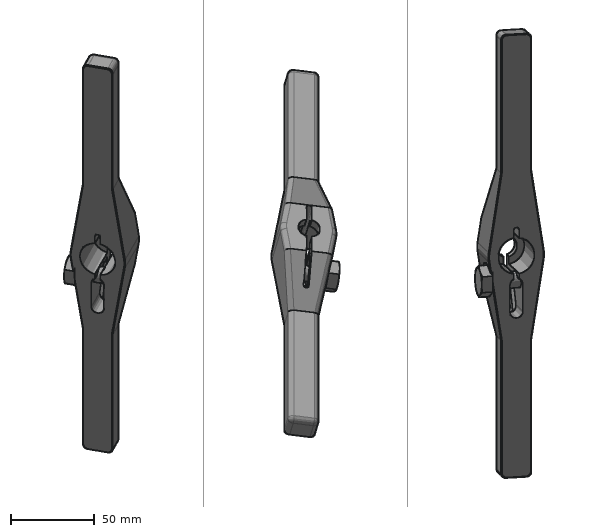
import cadquery as cq
import math

LENGTH = 272.8
HANDLE_WIDTH = 18.8
HANDLE_DEPTH = 15.0
HUB_PEAK_WIDTH = 35.0
HUB_DEPTH = 31.0
HUB_LENGTH = 103.0
HUB_FLAT_LENGTH = 35.5
EDGE_RADIUS = 3.3
FRONT_CHAMFER = 0.5
PEAK_RADIUS = 18.0
BACK_WALL = 6.0

BORE_DIAMETER = 22.0
BACK_HOLE_DIAMETER = 13.0
SLOT_WIDTH = 3.3
SLOT_TOP = 17.5
SLOT_BOTTOM = -38.2
POCKET_WIDTH = 8.0
POCKET_TOP = -14.0

BOLT_Y = 9.0
BOLT_Z = -16.6
SHANK_DIAMETER = 10.0
SHANK_END_X = 11.0
SEAT_X = -14.5
SEAT_DIAMETER = 22.0
HEAD_OUTER_X = -21.3
HEAD_FLATS = 17.0
HEAD_CORNERS = HEAD_FLATS / math.cos(math.pi / 6)
HEAD_CHAMFER_DEPTH = 0.5

half_hub = HUB_LENGTH / 2
half_flat = HUB_FLAT_LENGTH / 2
side_slope = (HUB_PEAK_WIDTH - HANDLE_WIDTH) / 2 / half_hub
back_slope = (HUB_DEPTH - HANDLE_DEPTH) / (half_hub - half_flat)

HUB_OVERRUN = 13.6
hub_tip = half_hub + HUB_OVERRUN
tip_half_width = HANDLE_WIDTH / 2 - side_slope * HUB_OVERRUN
tip_depth = HANDLE_DEPTH - back_slope * HUB_OVERRUN


def hub_side_prism(wall):
    """Side profile of the hub, its back moved toward the front by wall, extruded across X."""
    outline = [
        (0, -hub_tip),
        (tip_depth - wall, -hub_tip),
        (HUB_DEPTH - wall, -half_flat),
        (HUB_DEPTH - wall, half_flat),
        (tip_depth - wall, hub_tip),
        (0, hub_tip),
    ]
    return cq.Workplane("YZ").polyline(outline).close().extrude(HUB_PEAK_WIDTH, both=True)


def handle_bar():
    bar = cq.Workplane("XY").box(HANDLE_WIDTH, HANDLE_DEPTH, LENGTH, centered=(True, False, True))
    return bar.edges("|Y or >Y").fillet(EDGE_RADIUS)


def hub():
    half_peak = HUB_PEAK_WIDTH / 2
    outline = [
        (-tip_half_width, -hub_tip),
        (tip_half_width, -hub_tip),
        (half_peak, 0),
        (tip_half_width, hub_tip),
        (-tip_half_width, hub_tip),
        (-half_peak, 0),
    ]
    plan = cq.Workplane("XZ").polyline(outline).close().extrude(-HUB_DEPTH)
    plan = plan.edges("|Y and (<X or >X)").fillet(PEAK_RADIUS)
    body = plan.intersect(hub_side_prism(0))
    back_faces = body.faces("#X and (not (<Y or <Z or >Z))")
    return back_faces.edges("not |X").fillet(EDGE_RADIUS)


def front_slot(width, bottom, top):
    """Round-ended slot along Z, running from the front face through the hub depth."""
    plane = cq.Workplane("XZ").center(0, (top + bottom) / 2)
    return plane.slot2D(top - bottom, width, 90).extrude(-HUB_DEPTH)


def bore_cylinder(diameter, depth):
    return cq.Workplane("XZ").circle(diameter / 2).extrude(-depth)


def clamp_openings():
    """Stepped bore, narrow slot through the hub, and the wider pocket that follows its back."""
    bore = bore_cylinder(BORE_DIAMETER, HUB_DEPTH - BACK_WALL)
    back_hole = bore_cylinder(BACK_HOLE_DIAMETER, HUB_DEPTH)
    slot = front_slot(SLOT_WIDTH, SLOT_BOTTOM, SLOT_TOP)
    pocket = front_slot(POCKET_WIDTH, SLOT_BOTTOM, POCKET_TOP).intersect(hub_side_prism(BACK_WALL))
    return bore.union(back_hole).union(slot).union(pocket)


def x_plane(x):
    """Plane normal to X, centred on the bolt axis."""
    return cq.Workplane("YZ", origin=(x, BOLT_Y, BOLT_Z))


def spot_face():
    """Round recess that levels the sloping side under the bolt head."""
    return x_plane(SEAT_X).circle(SEAT_DIAMETER / 2).extrude(-HUB_PEAK_WIDTH)


def bolt():
    """Hex-head bolt with two corners of the head along Z and its outer corners chamfered."""
    head_height = SEAT_X - HEAD_OUTER_X
    head_plane = x_plane(HEAD_OUTER_X)
    hexagon = head_plane.transformed(rotate=(0, 0, 90)).polygon(6, HEAD_CORNERS).extrude(head_height)
    turned = head_plane.circle(HEAD_CORNERS / 2).extrude(head_height)
    turned = turned.faces("<X").chamfer(HEAD_CHAMFER_DEPTH, (HEAD_CORNERS - HEAD_FLATS) / 2)
    shank = x_plane(SEAT_X).circle(SHANK_DIAMETER / 2).extrude(SHANK_END_X - SEAT_X)
    return hexagon.intersect(turned).union(shank)


lever = handle_bar().union(hub())
lever = lever.faces("<Y").chamfer(FRONT_CHAMFER)
lever = lever.cut(clamp_openings()).cut(spot_face())
result = lever.union(bolt())